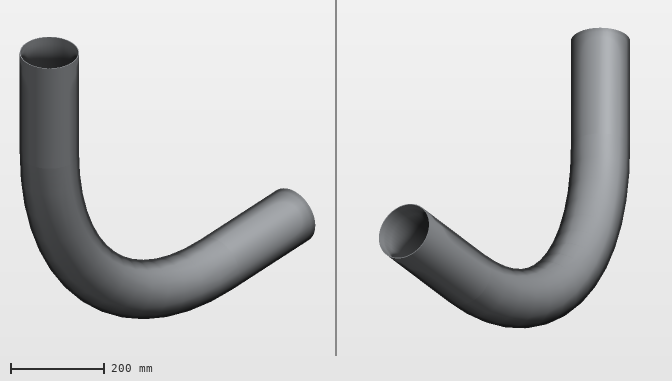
import cadquery as cq
import math

overall_length = 876.0
outer_diameter = 127.0
inner_diameter = 123.5
straight_length = 254.0

bend_radius = overall_length - straight_length - outer_diameter / 2

bend_start = (0, 0)
bend_middle = (
    bend_radius * (1 - math.cos(math.pi / 4)),
    -bend_radius * math.sin(math.pi / 4),
)
bend_end = (bend_radius, -bend_radius)

centreline = (
    cq.Workplane("YZ")
    .moveTo(0, straight_length)
    .lineTo(*bend_start)
    .threePointArc(bend_middle, bend_end)
    .lineTo(bend_radius + straight_length, -bend_radius)
)

result = (
    cq.Workplane("XY", origin=(0, 0, straight_length))
    .circle(outer_diameter / 2)
    .circle(inner_diameter / 2)
    .sweep(centreline)
)